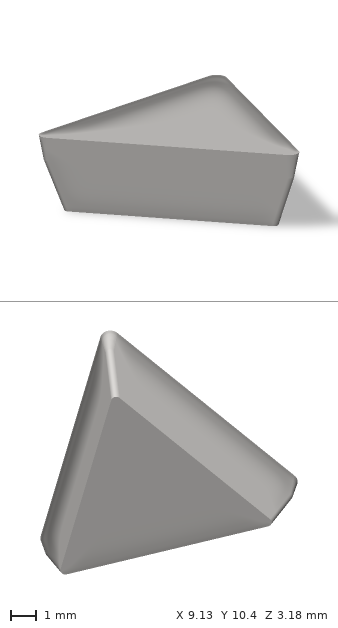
import cadquery as cq
import math

inscribed_circle = 6.35
thickness = 3.175
nose_radius = 0.397
relief_angle = 11.0
corner_count = 3

lower_nose_radius = nose_radius / 2
relief_slope = math.tan(math.radians(relief_angle))
cone_depth = (nose_radius - lower_nose_radius) / relief_slope

top_z = thickness
crease_z = thickness - cone_depth
base_z = 0.0


def polar_point(center, radius, angle):
    """Point at a distance and an angle in degrees from a center."""
    return (
        center[0] + radius * math.cos(math.radians(angle)),
        center[1] + radius * math.sin(math.radians(angle)),
    )


def rounded_triangle(z, corner_radius):
    """Wire of the section at height z, with one corner pointing along +X."""
    inradius = inscribed_circle / 2 - (thickness - z) * relief_slope
    center_distance = 2 * (inradius - corner_radius)
    corner_step = 360 / corner_count
    half_sweep = corner_step / 2
    section = cq.Workplane("XY", origin=(0, 0, z))
    for index in range(corner_count):
        angle = index * corner_step
        center = polar_point((0, 0), center_distance, angle)
        start = polar_point(center, corner_radius, angle - half_sweep)
        nose = polar_point(center, corner_radius, angle)
        end = polar_point(center, corner_radius, angle + half_sweep)
        section = section.moveTo(*start) if index == 0 else section.lineTo(*start)
        section = section.threePointArc(nose, end)
    return section.close().val()


def ruled_body(lower_wire, upper_wire):
    """Solid with straight flanks between two sections."""
    return cq.Workplane(obj=cq.Solid.makeLoft([lower_wire, upper_wire], True))


top_wire = rounded_triangle(top_z, nose_radius)
crease_wire = rounded_triangle(crease_z, lower_nose_radius)
base_wire = rounded_triangle(base_z, lower_nose_radius)

lower_body = ruled_body(base_wire, crease_wire)
upper_body = ruled_body(crease_wire, top_wire)

result = lower_body.union(upper_body).clean()